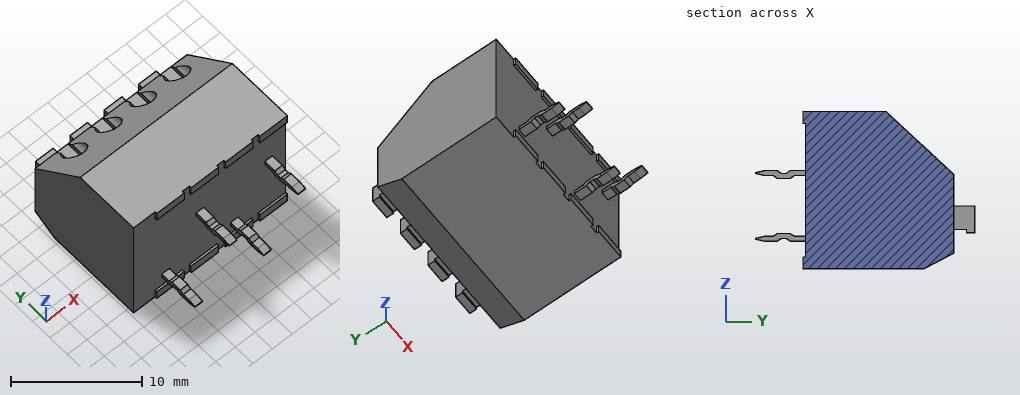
import cadquery as cq

pole_count = 4
pole_pitch = 3.5
housing_width = 15.5
housing_depth = 11.3
housing_height = 12.0
slope_depth = 5.18
slope_foot_height = 7.2
lower_chamfer_depth = 2.3
lower_chamfer_height = 1.2

pad_width = 2.8
pad_height = 0.93
pad_thickness = 0.2
first_pad_left = housing_width - pad_width - (pole_count - 1) * pole_pitch

wire_hole_radius = 1.0
wire_hole_height = 8.48
wire_hole_depth = 5.0
wire_slot_width = 1.17
wire_slot_floor = slope_foot_height
first_wire_x = 2.77

button_width = 1.8
button_length = 1.6
button_top = 4.8
button_bottom = 3.0
button_lip_length = 0.65
button_lip_drop = 0.25
first_button_x = 2.38

pin_width = 0.77
pin_thickness = 0.4
pin_length = 3.8
pin_taper_length = 0.7
pin_tip_thickness = 0.08
pin_row_heights = (2.3, 7.3)
first_pin_x = 3.26
kink_center = 1.65
kink_offset = 0.22
kink_run = 0.34
kink_outer_half = 0.47
kink_inner_half = 0.17


def pole_positions(first_x):
    """X position of one feature at every pole."""
    return [first_x + pole * pole_pitch for pole in range(pole_count)]


def extrude_along_x(points, center_x, width):
    """Prism with a (Y, Z) outline, centred on center_x."""
    return cq.Workplane("YZ", origin=(center_x - width / 2, 0, 0)).polyline(points).close().extrude(width)


def make_housing():
    outline = [
        (0, 0),
        (housing_depth - lower_chamfer_depth, 0),
        (housing_depth, lower_chamfer_height),
        (housing_depth, slope_foot_height),
        (housing_depth - slope_depth, housing_height),
        (0, housing_height),
    ]
    return extrude_along_x(outline, housing_width / 2, housing_width)


def make_pad(left_x, bottom_z):
    pad = cq.Workplane("XY").box(pad_width, pad_thickness, pad_height, centered=False)
    return pad.translate((left_x, -pad_thickness, bottom_z))


def make_wire_entry(center_x):
    entry_start = housing_depth - wire_hole_depth
    hole = (
        cq.Workplane("XZ", origin=(center_x, entry_start, wire_hole_height))
        .circle(wire_hole_radius)
        .extrude(-wire_hole_depth)
    )
    slot_height = wire_hole_height - wire_slot_floor
    slot = cq.Workplane("XY").box(wire_slot_width, wire_hole_depth, slot_height, centered=False)
    slot = slot.translate((center_x - wire_slot_width / 2, entry_start, wire_slot_floor))
    return hole.union(slot)


def make_button(center_x):
    end_y = housing_depth + button_length
    lip_y = end_y - button_lip_length
    outline = [
        (housing_depth, button_top),
        (end_y, button_top),
        (end_y, button_bottom - button_lip_drop),
        (lip_y, button_bottom - button_lip_drop),
        (lip_y, button_bottom),
        (housing_depth, button_bottom),
    ]
    return extrude_along_x(outline, center_x, button_width)


def pin_edge(side, kink_half):
    """Long edge of a pin from root to tip, as (distance from pin face, height); the kink bends upwards."""
    level = side * pin_thickness / 2
    return [
        (0, level),
        (kink_center - kink_half - kink_run, level),
        (kink_center - kink_half, level + kink_offset),
        (kink_center + kink_half, level + kink_offset),
        (kink_center + kink_half + kink_run, level),
        (pin_length - pin_taper_length, level),
        (pin_length, side * pin_tip_thickness / 2),
    ]


def make_pin(center_x, center_z, kink_direction):
    convex_edge = pin_edge(1, kink_outer_half)
    concave_edge = pin_edge(-1, kink_inner_half)
    outline = convex_edge + concave_edge[::-1]
    points = [(-distance, center_z + kink_direction * height) for distance, height in outline]
    return extrude_along_x(points, center_x, pin_width)


result = make_housing()

for wire_x in pole_positions(first_wire_x):
    result = result.cut(make_wire_entry(wire_x))

for pad_left in pole_positions(first_pad_left):
    for pad_bottom in (0, housing_height - pad_height):
        result = result.union(make_pad(pad_left, pad_bottom))

for button_x in pole_positions(first_button_x):
    result = result.union(make_button(button_x))

for pole, pin_x in enumerate(pole_positions(first_pin_x)):
    in_upper_row = pole % 2
    kink_direction = -1 if in_upper_row else 1
    result = result.union(make_pin(pin_x, pin_row_heights[in_upper_row], kink_direction))